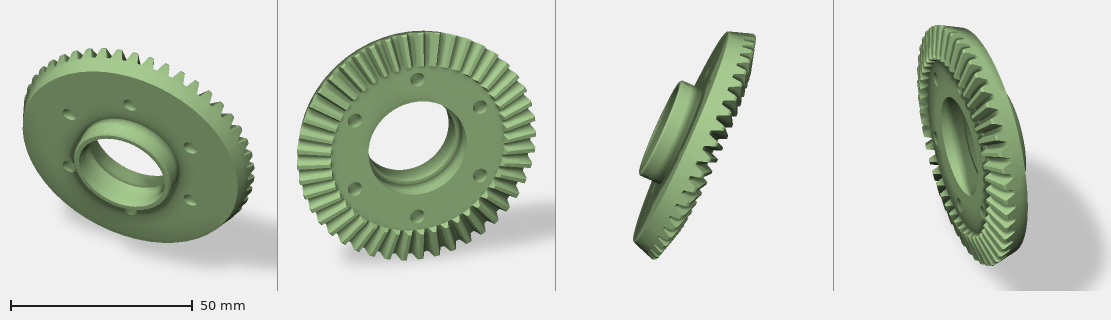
import cadquery as cq
import math

tooth_count = 45
tip_radius = 34.1
tip_height = 13.1
overall_height = 16.2
inner_tip_radius = 25.3
apex_height = 23.6
cone_tilt = 19.0
tip_bevel = 0.3

hub_height = 6.4
hub_radius = 14.3
hub_chamfer = 0.5
web_height = 14.25
bore_radius = 12.6
counterbore_radius = 14.0
counterbore_floor = 7.85

hole_count = 6
hole_circle_radius = 20.6
hole_diameter = 4.1

gap_depth = 2.7
gap_rise = 0.7
gap_mouth_half_width = 1.85
gap_middle_half_width = 1.2
gap_bottom_half_width = 0.7
root_fillet = 0.35

cutter_inner_scale = 0.68
cutter_outer_scale = 1.06

cone_slope = math.tan(math.radians(cone_tilt))
tip_slope = (apex_height - overall_height) / inner_tip_radius


def tip_cone_height(radius):
    return apex_height - tip_slope * radius


def back_cone_radius(height):
    return tip_radius - (tip_height - height) * cone_slope


def inner_cone_radius(height):
    return inner_tip_radius - (overall_height - height) * cone_slope


def revolved(points):
    """Turn a (radius, height) outline about the Y axis."""
    half_plane = cq.Plane(origin=(0, 0, 0), xDir=(0, 0, 1), normal=(-1, 0, 0))
    return cq.Workplane(half_plane).polyline(points).close().revolve(360, (0, 0), (0, 1))


def make_tooth_ring():
    """Ring between the inner and outer end cones, still without gaps."""
    bevel_radius = tip_radius - tip_bevel
    return revolved([
        (inner_cone_radius(hub_height), hub_height),
        (back_cone_radius(hub_height), hub_height),
        (tip_radius, tip_height),
        (bevel_radius, tip_cone_height(bevel_radius)),
        (inner_tip_radius, overall_height),
    ])


def make_core():
    """Web and hub inside the tooth ring, with the stepped bore."""
    return revolved([
        (bore_radius, 0),
        (hub_radius - hub_chamfer, 0),
        (hub_radius, hub_chamfer),
        (hub_radius, hub_height),
        (inner_cone_radius(hub_height), hub_height),
        (inner_cone_radius(web_height), web_height),
        (counterbore_radius, web_height),
        (counterbore_radius, counterbore_floor),
        (bore_radius, counterbore_floor),
    ])


def gap_section(scale):
    """Outline across a tooth gap on the +X side, scaled about the apex."""
    plane = cq.Plane(
        origin=(scale * tip_radius, apex_height + scale * (tip_height - apex_height), 0),
        xDir=(0, 0, -1),
        normal=(math.cos(math.radians(cone_tilt)), -math.sin(math.radians(cone_tilt)), 0),
    )
    mouth = gap_mouth_half_width * scale
    middle = gap_middle_half_width * scale
    bottom = gap_bottom_half_width * scale
    depth = gap_depth * scale
    rise = gap_rise * scale
    fillet = root_fillet * scale
    flank_end = fillet - depth
    flank_middle = (rise + flank_end) / 2
    return (
        cq.Workplane(plane)
        .moveTo(-mouth, rise)
        .threePointArc((-middle, flank_middle), (-bottom, flank_end))
        .radiusArc((fillet - bottom, -depth), -fillet)
        .lineTo(bottom - fillet, -depth)
        .radiusArc((bottom, flank_end), -fillet)
        .threePointArc((middle, flank_middle), (mouth, rise))
        .close()
        .val()
    )


def cut_gaps(ring):
    cutter = cq.Solid.makeLoft([gap_section(cutter_inner_scale), gap_section(cutter_outer_scale)], True)
    pitch_angle = 360 / tooth_count
    cutters = [cutter.rotate((0, 0, 0), (0, 1, 0), i * pitch_angle) for i in range(tooth_count)]
    return ring.cut(cq.Workplane(cq.Compound.makeCompound(cutters)))


def make_mounting_holes():
    return (
        cq.Workplane("XZ")
        .polarArray(hole_circle_radius, 90, 360, hole_count)
        .circle(hole_diameter / 2)
        .extrude(-overall_height)
    )


result = cut_gaps(make_tooth_ring()).union(make_core()).cut(make_mounting_holes())